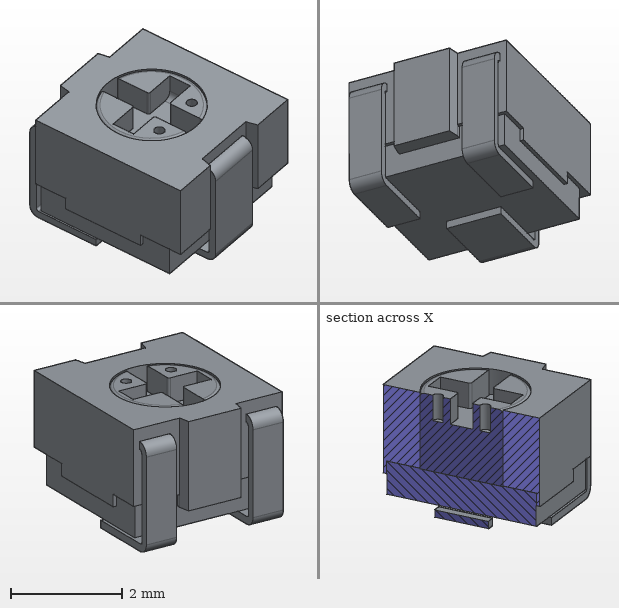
import cadquery as cq

length = 3.5
width = 3.2
height = 2.4

side_step = 0.228
shelf_z = 0.9
tab_bottom_z = 0.655
skirt_length = 1.7
boss_tip_width = 1.127
boss_root_width = 1.215
notch_inner_width = 1.3
notch_mouth_width = 1.415

base_length = 2.905
base_width = 3.06
base_bottom_z = 0.25

rotor_x = -0.112
rotor_radius = 1.0
rim_round = 0.07
slot_depth = 0.5
long_slot_width = 0.448
cross_slot_width = 0.462
cross_slot_length = 1.687
cross_slot_end_round = 0.14
slot_corner_round = 0.042
mark_diameter = 0.2
mark_offset_x = 0.54
mark_offset_y = 0.483

strip = 0.15
terminal_top_z = 2.145
foot_bend = 0.2
left_foot_length = 1.5
right_foot_length = 1.48
left_terminal_width = 0.655
left_terminal_y = 1.148
right_terminal_width = 1.102

left_x = -length / 2
right_x = length / 2
wall_x = left_x + side_step
notch_x = right_x - side_step
base_left_x = -base_length / 2
rotor_height = height - shelf_z


def tapered_prism(x_start, width_start, x_end, width_end, z_bottom):
    """Upright prism up to the top face, with a trapezoid plan symmetric about the X axis."""
    return (
        cq.Workplane("XY", origin=(0, 0, z_bottom))
        .moveTo(x_start, -width_start / 2)
        .lineTo(x_end, -width_end / 2)
        .lineTo(x_end, width_end / 2)
        .lineTo(x_start, width_start / 2)
        .close()
        .extrude(height - z_bottom)
    )


def make_base():
    return cq.Workplane("XY", origin=(0, 0, base_bottom_z)).box(
        base_length, base_width, shelf_z - base_bottom_z, centered=(True, True, False)
    )


def make_housing(base):
    block = cq.Workplane("XY", origin=(wall_x, 0, shelf_z)).box(
        right_x - wall_x, width, rotor_height, centered=(False, True, False)
    )
    skirts = cq.Workplane("XY", origin=(0, 0, tab_bottom_z)).box(
        skirt_length, width, shelf_z - tab_bottom_z, centered=(True, True, False)
    )
    boss = tapered_prism(left_x, boss_tip_width, wall_x, boss_root_width, tab_bottom_z)
    boss_root = tapered_prism(wall_x, boss_root_width, base_left_x, boss_root_width, tab_bottom_z)
    notch = tapered_prism(notch_x, notch_inner_width, right_x, notch_mouth_width, shelf_z)
    bore = cq.Workplane("XY", origin=(rotor_x, 0, shelf_z)).circle(rotor_radius).extrude(rotor_height)
    return block.union(skirts).union(boss).union(boss_root).cut(notch).cut(base).cut(bore)


def make_rotor():
    """Adjustment disc with a cross slot and two marking holes, resting on the base."""
    disc = cq.Workplane("XY").circle(rotor_radius).extrude(rotor_height)
    slot_floor = cq.Workplane("XY", origin=(0, 0, rotor_height - slot_depth))
    long_slot = slot_floor.box(2 * rotor_radius, long_slot_width, slot_depth, centered=(True, True, False))
    cross_slot = (
        slot_floor.box(cross_slot_width, cross_slot_length, slot_depth, centered=(True, True, False))
        .faces("<Z")
        .edges("|X")
        .fillet(cross_slot_end_round)
    )
    slotted_disc = disc.cut(long_slot).cut(cross_slot)

    long_slot_zone = cq.selectors.BoxSelector(
        (-rotor_radius, -long_slot_width, rotor_height - slot_depth),
        (rotor_radius, long_slot_width, rotor_height),
    )
    rounded_quadrants = slotted_disc.edges("|Z").edges(long_slot_zone).fillet(slot_corner_round)

    rim_envelope = disc.faces(">Z").edges().fillet(rim_round)
    marks = (
        slot_floor.pushPoints([(mark_offset_x, mark_offset_y), (mark_offset_x, -mark_offset_y)])
        .circle(mark_diameter / 2)
        .extrude(slot_depth)
    )
    return rounded_quadrants.intersect(rim_envelope).cut(marks).translate((rotor_x, 0, shelf_z))


def make_terminal(foot_length, strip_width, y_center):
    """Bent strip on the left side: inward foot, upright leg and a top bend onto the housing wall."""
    top_bend = side_step
    leg_inner_x = left_x + strip
    foot_end_x = left_x + foot_length
    profile = (
        cq.Workplane("XZ", origin=(0, y_center, 0))
        .moveTo(foot_end_x, 0)
        .lineTo(left_x + foot_bend, 0)
        .radiusArc((left_x, foot_bend), foot_bend)
        .lineTo(left_x, terminal_top_z - top_bend)
        .radiusArc((wall_x, terminal_top_z), top_bend)
        .lineTo(wall_x, terminal_top_z - strip)
        .radiusArc((leg_inner_x, terminal_top_z - top_bend), strip - top_bend)
        .lineTo(leg_inner_x, foot_bend)
        .radiusArc((left_x + foot_bend, strip), strip - foot_bend)
        .lineTo(foot_end_x, strip)
        .close()
    )
    return profile.extrude(strip_width / 2, both=True)


base = make_base()
housing = make_housing(base)
rotor = make_rotor()
left_terminals = [
    make_terminal(left_foot_length, left_terminal_width, side * left_terminal_y) for side in (-1, 1)
]
right_terminal = make_terminal(right_foot_length, right_terminal_width, 0).mirror("YZ")

result = cq.Compound.makeCompound(
    [
        housing.val(),
        base.val(),
        rotor.val(),
        *[terminal.val() for terminal in left_terminals],
        right_terminal.val(),
    ]
)